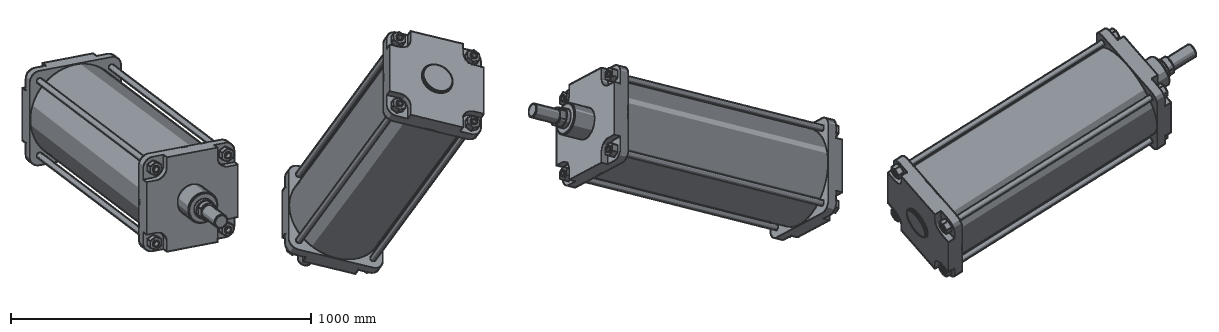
import cadquery as cq
import math


total_length = 1146.0
cap_width = 340.0

cap_thickness = 57.0
cap_corner_radius = 35.0
pocket_depth = 25.0
pocket_corner_radius = 40.0
pocket_size = cap_corner_radius + pocket_corner_radius
boss_diameter = 110.0
boss_chamfer = 3.0
rear_boss_length = 9.0
front_boss_length = 81.0

barrel_diameter = 336.0

rear_cap_start = rear_boss_length
barrel_start = rear_cap_start + cap_thickness
front_cap_start = 874.0
front_cap_end = front_cap_start + cap_thickness
front_boss_end = front_cap_end + front_boss_length

rod_diameter = 68.0
rod_shoulder = 1028.0
neck_diameter = 62.0
neck_end = 1051.0
flats_width = 54.0
stud_diameter = 48.0
stud_chamfer = 2.0

tie_offset = 134.0
tie_diameter = 21.0
nut_across_flats = 41.0
nut_height = 22.0
nut_corners = nut_across_flats / math.cos(math.pi / 6)
tie_tip_diameter = 24.0
tie_tip_length = pocket_depth - nut_height
tie_socket_diameter = 18.0
tie_socket_depth = pocket_depth

corner_signs = [(y, z) for y in (-1, 1) for z in (-1, 1)]


def x_cylinder(diameter, start, end, y=0.0, z=0.0):
    """Cylinder along X between two stations."""
    plane = cq.Workplane("YZ", origin=(start, y, z))
    return plane.circle(diameter / 2).extrude(end - start)


def cap_plate(start, pocket_start):
    """Square plate with a rounded nut pocket and a tie-rod hole at each corner."""
    plate = (
        cq.Workplane("YZ", origin=(start, 0, 0))
        .rect(cap_width, cap_width)
        .extrude(cap_thickness)
        .edges("|X")
        .fillet(cap_corner_radius)
    )
    cutter_width = 2 * pocket_size
    corner = cap_width / 2
    for y_sign, z_sign in corner_signs:
        pocket = (
            cq.Workplane("YZ", origin=(pocket_start, y_sign * corner, z_sign * corner))
            .rect(cutter_width, cutter_width)
            .extrude(pocket_depth)
            .edges("|X")
            .fillet(pocket_corner_radius)
        )
        hole = x_cylinder(
            tie_diameter, start, start + cap_thickness, y_sign * tie_offset, z_sign * tie_offset
        )
        plate = plate.cut(pocket).cut(hole)
    return plate


def make_rear_cap():
    boss = x_cylinder(boss_diameter, 0, rear_cap_start).faces("<X").chamfer(boss_chamfer)
    return cap_plate(rear_cap_start, rear_cap_start).union(boss)


def make_front_cap():
    boss = x_cylinder(boss_diameter, front_cap_end, front_boss_end).faces(">X").chamfer(boss_chamfer)
    rod_bore = x_cylinder(rod_diameter, front_cap_start, front_boss_end)
    return cap_plate(front_cap_start, front_cap_end - pocket_depth).union(boss).cut(rod_bore)


def make_barrel():
    return x_cylinder(barrel_diameter, barrel_start, front_cap_start)


def make_piston_rod():
    """Stepped rod: guided shank, neck with two wrench flats, end stud."""
    shank = x_cylinder(rod_diameter, front_cap_start, rod_shoulder)
    neck = x_cylinder(neck_diameter, rod_shoulder, neck_end)
    flats = (
        cq.Workplane("YZ", origin=(rod_shoulder, 0, 0))
        .rect(flats_width, neck_diameter)
        .extrude(neck_end - rod_shoulder)
    )
    stud = x_cylinder(stud_diameter, neck_end, total_length).faces(">X").chamfer(stud_chamfer)
    return shank.union(neck.intersect(flats)).union(stud)


def tie_nut(start, y, z):
    """Hexagonal nut with corners pointing along Z."""
    return (
        cq.Workplane("YZ", origin=(start, y, z))
        .transformed(rotate=(0, 0, 90))
        .polygon(6, nut_corners)
        .extrude(nut_height)
    )


def make_tie_rod(y, z):
    """Tie rod carrying a nut and a socketed tip, flush with the cap face, at each end."""
    start = rear_cap_start
    end = front_cap_end
    rear_nut_face = start + tie_tip_length
    front_nut_face = end - tie_tip_length
    rod = x_cylinder(tie_diameter, rear_nut_face, front_nut_face, y, z)
    rod = rod.union(tie_nut(rear_nut_face, y, z))
    rod = rod.union(tie_nut(front_nut_face - nut_height, y, z))
    rod = rod.union(x_cylinder(tie_tip_diameter, start, rear_nut_face, y, z))
    rod = rod.union(x_cylinder(tie_tip_diameter, front_nut_face, end, y, z))
    rod = rod.cut(x_cylinder(tie_socket_diameter, start, start + tie_socket_depth, y, z))
    return rod.cut(x_cylinder(tie_socket_diameter, end - tie_socket_depth, end, y, z))


rear_cap = make_rear_cap()
front_cap = make_front_cap()
barrel = make_barrel()
piston_rod = make_piston_rod()
tie_rods = [make_tie_rod(y * tie_offset, z * tie_offset) for y, z in corner_signs]

result = cq.Compound.makeCompound(
    [rear_cap.val(), front_cap.val(), barrel.val(), piston_rod.val(), *[rod.val() for rod in tie_rods]]
)